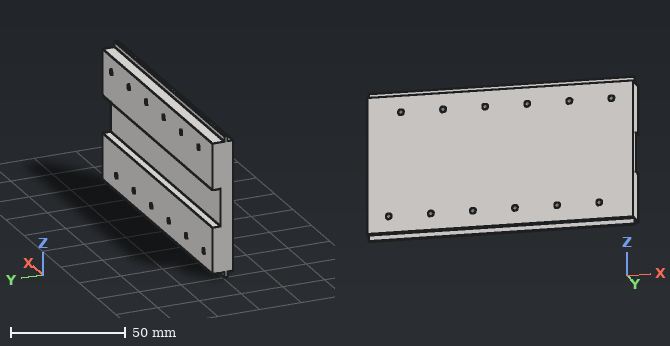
import cadquery as cq

length = 120.0
thickness = 10.0
overall_height = 67.0

tongue_height = 2.5
tongue_width = 1.5
tongue_setback = 2.6
body_height = overall_height - 2 * tongue_height

channel_height = 17.8
channel_depth = 4.0

hole_diameter = 2.5
holes_per_row = 6
row_span = 95.0
row_shift = 2.8
row_distance = 47.0
hole_pitch = row_span / (holes_per_row - 1)


def full_length_bar(y_start, width, height):
    """A bar along the whole plate, centred on X and Z."""
    return cq.Workplane("XY").box(length, width, height).translate((0, y_start + width / 2, 0))


def hole_centres():
    """X and Z positions of the holes in both rows."""
    centres = []
    for side in (1, -1):
        for i in range(holes_per_row):
            x = side * row_shift - row_span / 2 + i * hole_pitch
            centres.append((x, side * row_distance / 2))
    return centres


body = full_length_bar(0, thickness, body_height)
tongues = full_length_bar(tongue_setback, tongue_width, overall_height)
channel = full_length_bar(thickness - channel_depth, channel_depth, channel_height)
holes = cq.Workplane("XZ").pushPoints(hole_centres()).circle(hole_diameter / 2).extrude(-thickness)

result = body.union(tongues).cut(channel).cut(holes)